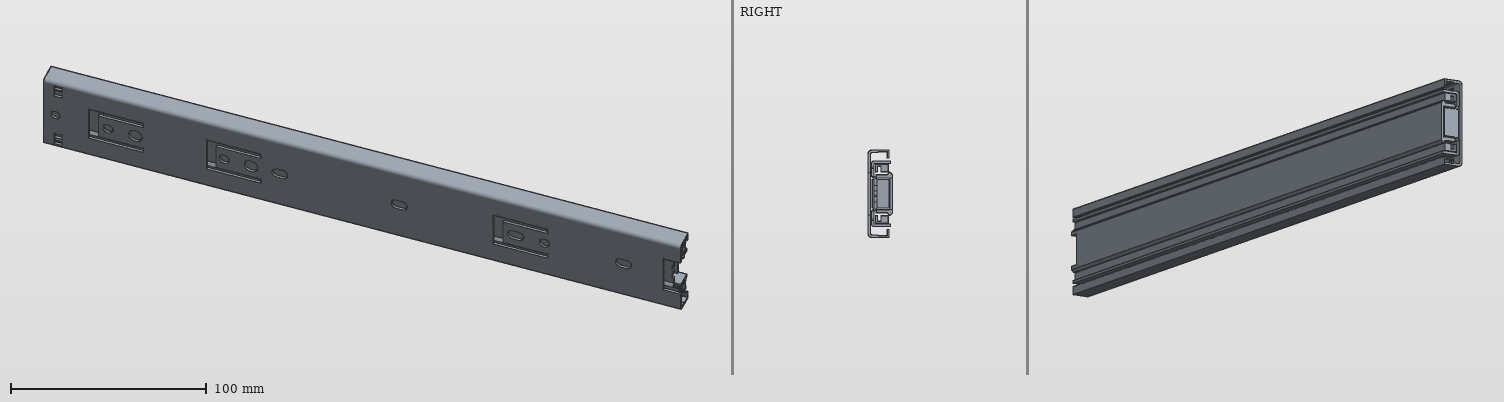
import cadquery as cq

LENGTH = 350.0
DEPTH = 12.5
HEIGHT = 44.8

RAIL_LENGTH = 349.0
SHEET = 1.5
BEND_RADIUS = 2.0
FLANGE_DEPTH = 11.0
LIP_SHEET = 1.0
LIP_END_Z = 18.2
BALL_GROOVE_DEPTH = 0.5
BALL_GROOVE_FRONT_Y = 5.2

WEB_CUT_Y = (-SHEET, 2 * SHEET)

TONGUE_WINDOW_STARTS = (25.0, 89.2, 246.5)
WINDOW_LENGTH = 29.8
WINDOW_HEIGHT = 20.0
TONGUE_HEIGHT = 14.5
TONGUE_GAP = 5.2

SMALL_HOLE_DIAMETER = 5.5
SMALL_HOLE_XS = (35.5, 99.0, 274.5)
LARGE_HOLE_DIAMETER = 7.5
LARGE_HOLE_XS = (50.5, 113.8)
SLOT_LENGTH = 8.8
SLOT_XS = (129.5, 195.0, 258.5, 317.8)
END_HOLE_DIAMETER = 5.0
END_HOLE_X = 6.5

OPENING_X = 8.0
OPENING_WIDTH = 4.2
INNER_OPENING_Z = (13.0, 17.0)
OUTER_OPENING_Z = (18.0, 20.0)

NOTCH_START_X = 339.5
NOTCH_HEIGHT = 21.7

INTERMEDIATE_SHEET = 1.5
INTERMEDIATE_FRONT_Y = 1.8
INTERMEDIATE_BACK_Y = 11.5
INTERMEDIATE_HALF_HEIGHT = 16.8
INTERMEDIATE_BEND_RADIUS = 1.5
RECESS_DEPTH = 1.5
RECESS_SLOPE_HEIGHT = 1.8
RECESS_HALF_HEIGHT = 7.5
END_WALL_FRONT_Y = 2.0
END_WALL_BACK_Y = 11.0
INTERMEDIATE_BODY_END_X = 347.5

WEB_END_X = 344.0
WEB_CUT_HEIGHT = 17.5
EDGE_RECESS_DEPTH = 1.0
EDGE_RECESS_HEIGHT = 8.5
ROUND_TAB_DIAMETER = 2.8
END_TAB_Z = 13.3
END_TAB_HEIGHT = 0.7

INNER_RAIL_LENGTH = 347.5
INNER_SHEET = 1.5
INNER_HALF_HEIGHT = 9.8
SHOULDER_HALF_HEIGHT = 11.2
INNER_LEG_FRONT_Y = 4.2
INNER_LEG_INSIDE_Z = 8.0
INNER_WEB_END_X = 343.0

CAGE_INSIDE_Z = 11.2
CAGE_OUTSIDE_Z = 15.0
CAGE_FRONT_Y = 4.0
CAGE_BACK_Y = 10.5
CAGE_BODY_FRONT_Y = 6.5
CAGE_WALL = 1.0


def extrude_section(points, length):
    """Solid from X = 0 to X = length with the given (Y, Z) outline."""
    return cq.Workplane("YZ").polyline(points).close().extrude(length)


def box(x_range, y_range, z_range):
    """Axis-aligned box between the given limits."""
    sizes = [high - low for low, high in (x_range, y_range, z_range)]
    corner = (x_range[0], y_range[0], z_range[0])
    return cq.Workplane("XY").box(*sizes, centered=False).translate(corner)


def with_mirror(points):
    """Close a half outline, given for Z > 0, with its mirror image below Z = 0."""
    return points + [(y, -z) for y, z in reversed(points)]


def web_sketch():
    """Workplane just in front of the outer rail, seen along +Y."""
    return cq.Workplane("XZ", origin=(0, WEB_CUT_Y[0], 0))


def through_web(sketch):
    """Cutter running along +Y through the web of the outer rail only."""
    return sketch.extrude(-(WEB_CUT_Y[1] - WEB_CUT_Y[0]))


def make_channel():
    half_height = HEIGHT / 2
    channel = box((0, RAIL_LENGTH), (0, FLANGE_DEPTH), (-half_height, half_height))
    channel = channel.edges("|X and <Y").fillet(BEND_RADIUS)
    inner_half_height = half_height - SHEET
    lip_front_y = FLANGE_DEPTH - LIP_SHEET
    cavity = box((0, RAIL_LENGTH), (SHEET, lip_front_y), (-inner_half_height, inner_half_height))
    cavity = cavity.edges("|X and <Y").fillet(BEND_RADIUS - SHEET)
    mouth = box((0, RAIL_LENGTH), (SHEET + BEND_RADIUS, FLANGE_DEPTH), (-LIP_END_Z, LIP_END_Z))
    groove_z = inner_half_height + BALL_GROOVE_DEPTH
    ball_grooves = box((0, RAIL_LENGTH), (BALL_GROOVE_FRONT_Y, lip_front_y), (-groove_z, groove_z))
    return channel.cut(cavity).cut(mouth).cut(ball_grooves)


def tongue_cutter(start_x):
    """U-shaped cut that leaves a tongue attached at its far end."""
    end_x = start_x + WINDOW_LENGTH
    tongue_x = start_x + TONGUE_GAP
    window = box((start_x, end_x), WEB_CUT_Y, (-WINDOW_HEIGHT / 2, WINDOW_HEIGHT / 2))
    tongue = box((tongue_x, end_x), WEB_CUT_Y, (-TONGUE_HEIGHT / 2, TONGUE_HEIGHT / 2))
    return window.cut(tongue)


def round_hole_cutter(xs, diameter):
    return through_web(web_sketch().pushPoints([(x, 0) for x in xs]).circle(diameter / 2))


def slot_cutter():
    points = [(x, 0) for x in SLOT_XS]
    return through_web(web_sketch().pushPoints(points).slot2D(SLOT_LENGTH, SMALL_HOLE_DIAMETER))


def opening_cutter(side, z_range):
    centre_z = side * sum(z_range) / 2
    height = z_range[1] - z_range[0]
    return through_web(web_sketch().center(OPENING_X, centre_z).rect(OPENING_WIDTH, height))


def make_outer_rail():
    rail = make_channel()
    for start_x in TONGUE_WINDOW_STARTS:
        rail = rail.cut(tongue_cutter(start_x))
    rail = rail.cut(round_hole_cutter(SMALL_HOLE_XS, SMALL_HOLE_DIAMETER))
    rail = rail.cut(round_hole_cutter(LARGE_HOLE_XS, LARGE_HOLE_DIAMETER))
    rail = rail.cut(round_hole_cutter([END_HOLE_X], END_HOLE_DIAMETER))
    rail = rail.cut(slot_cutter())
    for side in (1, -1):
        for z_range in (INNER_OPENING_Z, OUTER_OPENING_Z):
            rail = rail.cut(opening_cutter(side, z_range))
    notch_z = (-NOTCH_HEIGHT / 2, NOTCH_HEIGHT / 2)
    notch = box((NOTCH_START_X, RAIL_LENGTH), WEB_CUT_Y, notch_z)
    return rail.cut(notch)


def intermediate_section():
    """Outline points of the intermediate rail for Z > 0, from its back around to its front."""
    web_back_y = INTERMEDIATE_FRONT_Y + INTERMEDIATE_SHEET
    leg_inside_z = INTERMEDIATE_HALF_HEIGHT - INTERMEDIATE_SHEET
    slope_end_z = RECESS_HALF_HEIGHT + RECESS_SLOPE_HEIGHT
    return [
        (web_back_y + RECESS_DEPTH, RECESS_HALF_HEIGHT),
        (web_back_y, slope_end_z),
        (web_back_y, leg_inside_z),
        (INTERMEDIATE_BACK_Y, leg_inside_z),
        (INTERMEDIATE_BACK_Y, INTERMEDIATE_HALF_HEIGHT),
        (INTERMEDIATE_FRONT_Y, INTERMEDIATE_HALF_HEIGHT),
        (INTERMEDIATE_FRONT_Y, slope_end_z),
        (INTERMEDIATE_FRONT_Y + RECESS_DEPTH, RECESS_HALF_HEIGHT),
    ]


def cut_far_web_edge(rail):
    """Cut the middle of the web back to a stepped edge with a round tab."""
    web_y = (INTERMEDIATE_FRONT_Y, INTERMEDIATE_FRONT_Y + RECESS_DEPTH + INTERMEDIATE_SHEET)
    rail = rail.cut(box((WEB_END_X, LENGTH), web_y, (-WEB_CUT_HEIGHT / 2, WEB_CUT_HEIGHT / 2)))
    recess_z = (-EDGE_RECESS_HEIGHT / 2, EDGE_RECESS_HEIGHT / 2)
    rail = rail.cut(box((WEB_END_X - EDGE_RECESS_DEPTH, LENGTH), web_y, recess_z))
    tab_radius = ROUND_TAB_DIAMETER / 2
    tab_origin = (WEB_END_X - tab_radius, INTERMEDIATE_FRONT_Y + RECESS_DEPTH, 0)
    tab = cq.Workplane("XZ", origin=tab_origin).circle(tab_radius).extrude(-INTERMEDIATE_SHEET)
    return rail.union(tab)


def end_tab(side):
    """Tab above (side = 1) or below (side = -1) the notch, reaching past the ends of the other rails."""
    centre_z = side * END_TAB_Z
    return box(
        (INTERMEDIATE_BODY_END_X, LENGTH),
        (INTERMEDIATE_FRONT_Y, INTERMEDIATE_FRONT_Y + INTERMEDIATE_SHEET),
        (centre_z - END_TAB_HEIGHT / 2, centre_z + END_TAB_HEIGHT / 2),
    )


def make_intermediate_rail():
    rail = extrude_section(with_mirror(intermediate_section()), INTERMEDIATE_BODY_END_X)
    for outermost in (">Z", "<Z"):
        rail = rail.edges("|X").edges(outermost).edges("<Y").fillet(INTERMEDIATE_BEND_RADIUS)
    rail = cut_far_web_edge(rail)
    end_wall = box(
        (0, INTERMEDIATE_SHEET),
        (END_WALL_FRONT_Y, END_WALL_BACK_Y),
        (-RECESS_HALF_HEIGHT, RECESS_HALF_HEIGHT),
    )
    return rail.union(end_wall).union(end_tab(1)).union(end_tab(-1))


def make_inner_rail():
    web_front_y = DEPTH - INNER_SHEET
    upper_half = [
        (DEPTH, INNER_HALF_HEIGHT),
        (web_front_y, SHOULDER_HALF_HEIGHT),
        (web_front_y - INNER_SHEET, INNER_HALF_HEIGHT),
        (INNER_LEG_FRONT_Y, INNER_HALF_HEIGHT),
        (INNER_LEG_FRONT_Y, INNER_LEG_INSIDE_Z),
        (web_front_y, INNER_LEG_INSIDE_Z),
    ]
    rail = extrude_section(with_mirror(upper_half), INNER_RAIL_LENGTH)
    web_z = (-INNER_LEG_INSIDE_Z, INNER_LEG_INSIDE_Z)
    return rail.cut(box((INNER_WEB_END_X, LENGTH), (0, DEPTH), web_z))


def make_cage(side):
    """Ball cage above (side = 1) or below (side = -1) the inner rail."""
    arm_inside_z = CAGE_OUTSIDE_Z - CAGE_WALL
    hook_back_y = CAGE_FRONT_Y + CAGE_WALL
    outline = [
        (CAGE_BACK_Y, CAGE_INSIDE_Z),
        (CAGE_BACK_Y, CAGE_OUTSIDE_Z),
        (CAGE_FRONT_Y, CAGE_OUTSIDE_Z),
        (CAGE_FRONT_Y, CAGE_INSIDE_Z),
        (hook_back_y, CAGE_INSIDE_Z),
        (hook_back_y, arm_inside_z),
        (CAGE_BODY_FRONT_Y, arm_inside_z),
        (CAGE_BODY_FRONT_Y, CAGE_INSIDE_Z),
    ]
    return extrude_section([(y, side * z) for y, z in outline], INNER_RAIL_LENGTH)


outer_rail = make_outer_rail()
intermediate_rail = make_intermediate_rail()
inner_rail = make_inner_rail()
cages = [make_cage(side) for side in (1, -1)]

result = cq.Compound.makeCompound(
    [
        outer_rail.val(),
        intermediate_rail.val(),
        inner_rail.val(),
        *[cage.val() for cage in cages],
    ]
)